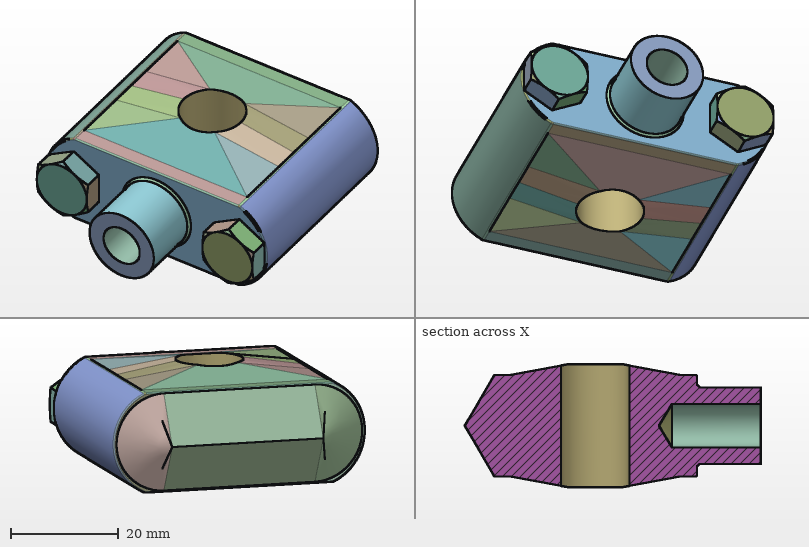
import cadquery as cq
import math

body_half_width = 24.5
body_half_thickness = 9.45
flat_half_width = 18.3
rear_y = 18.9
front_y = -rear_y
side_edge_radius = 1.1
end_edge_radius = 0.3

ridge_y = 24.25
ridge_half_length = 14.7
wedge_half_thickness = body_half_thickness - end_edge_radius

pad_half_width = 18.1
pad_half_length = 15.85
pad_top_z = 11.45
pad_strip_half_length = 5.05
cross_hole_radius = 6.3

stem_radius = 7.15
stem_end_y = -30.75
stem_base_chamfer = 0.5
bore_radius = 4.0
bore_depth = 16.5
drill_point_angle = 118

bolt_x = 18.35
bolt_across_flats = 11.1
bolt_head_height = 4.05
bolt_chamfer_angle = 30
bolt_sides = 6


def revolve_about_y(points, x=0):
    """Revolve (radius, y) points about the line parallel to Y at the given X."""
    profile = cq.Workplane("XY").polyline(points).close()
    return profile.revolve(360, (0, 0, 0), (0, 1, 0)).translate((x, 0, 0))


def make_slab():
    """Slab along Y with flat broad faces, bulging sides and rounded edges."""
    w, t = flat_half_width, body_half_thickness
    return (
        cq.Workplane("XZ", origin=(0, front_y, 0))
        .moveTo(-w, -t)
        .lineTo(w, -t)
        .threePointArc((body_half_width, 0), (w, t))
        .lineTo(-w, t)
        .threePointArc((-body_half_width, 0), (-w, -t))
        .close()
        .extrude(front_y - rear_y)
        .edges("|Y")
        .fillet(side_edge_radius)
        .faces("<Y or >Y")
        .edges()
        .fillet(end_edge_radius)
    )


def make_wedge():
    """Wedge that narrows to the rear ridge and has a half cone at each end of it."""
    t = wedge_half_thickness
    wedge = (
        cq.Workplane("YZ", origin=(-ridge_half_length, 0, 0))
        .polyline([(ridge_y, 0), (rear_y, t), (rear_y, -t)])
        .close()
        .extrude(2 * ridge_half_length)
    )
    half_cone = (
        cq.Workplane("YZ")
        .polyline([(ridge_y, 0), (rear_y, -t), (rear_y, 0)])
        .close()
        .revolve(180, (0, 0), (-1, 0))
        .translate((ridge_half_length, 0, 0))
    )
    return wedge.union(half_cone).union(half_cone.mirror("YZ"))


def flat_face(*points):
    """Planar face through the given corner points."""
    vectors = [cq.Vector(*point) for point in points]
    return cq.Face.makeFromWires(cq.Wire.makePolygon(vectors, close=True))


def make_pad():
    """Hipped pad: flat slopes plus strips ruled from the hole rim to the pad sides."""
    w, l, s = pad_half_width, pad_half_length, pad_strip_half_length
    z0, z1 = body_half_thickness, pad_top_z
    rim_x = math.sqrt(cross_hole_radius**2 - s**2)
    half_arc = math.asin(s / cross_hole_radius) / 2
    arc_x = cross_hole_radius * math.cos(half_arc)
    arc_y = cross_hole_radius * math.sin(half_arc)

    faces = []
    top_edges = []
    for side in (-1, 1):
        for end in (-1, 1):
            rim = cq.Edge.makeThreePointArc(
                cq.Vector(side * cross_hole_radius, 0, z1),
                cq.Vector(side * arc_x, end * arc_y, z1),
                cq.Vector(side * rim_x, end * s, z1),
            )
            foot = cq.Edge.makeLine(cq.Vector(side * w, 0, z0), cq.Vector(side * w, end * s, z0))
            side_slope = flat_face(
                (side * w, end * l, z0), (side * w, end * s, z0), (side * rim_x, end * s, z1)
            )
            faces += [cq.Face.makeRuledSurface(rim, foot), side_slope]
            top_edges.append(rim)
    for end in (-1, 1):
        end_slope = flat_face(
            (-w, end * l, z0), (w, end * l, z0), (rim_x, end * s, z1), (-rim_x, end * s, z1)
        )
        faces.append(end_slope)
        top_edges.append(cq.Edge.makeLine(cq.Vector(-rim_x, end * s, z1), cq.Vector(rim_x, end * s, z1)))
    top_wire = cq.Wire.combine(top_edges)[0]
    faces.append(cq.Face.makeFromWires(top_wire))
    base = flat_face(
        (-w, -l, z0), (w, -l, z0), (w, -s, z0), (w, 0, z0), (w, s, z0),
        (w, l, z0), (-w, l, z0), (-w, s, z0), (-w, 0, z0), (-w, -s, z0),
    )
    faces.append(base)
    return cq.Workplane(obj=cq.Solid.makeSolid(cq.Shell.makeShell(faces)))


def make_stem():
    """Round stem that flares where it meets the front face."""
    return revolve_about_y([
        (0, stem_end_y),
        (stem_radius, stem_end_y),
        (stem_radius, front_y - stem_base_chamfer),
        (stem_radius + stem_base_chamfer, front_y),
        (0, front_y),
    ])


def make_bore():
    """Blind bore from the stem end, closed by a drill point."""
    bore_end_y = stem_end_y + bore_depth
    point_length = bore_radius / math.tan(math.radians(drill_point_angle / 2))
    return revolve_about_y([
        (0, stem_end_y),
        (bore_radius, stem_end_y),
        (bore_radius, bore_end_y),
        (0, bore_end_y + point_length),
    ])


def make_bolt_head(x):
    """Hexagonal head with corners along Z and its outer corners bevelled."""
    half_side_angle = 180 / bolt_sides
    across_corners = bolt_across_flats / math.cos(math.radians(half_side_angle))
    head = (
        cq.Workplane("XZ", origin=(0, front_y, 0))
        .polygon(bolt_sides, across_corners)
        .extrude(bolt_head_height)
        .rotate((0, 0, 0), (0, 1, 0), half_side_angle)
        .translate((x, 0, 0))
    )
    end_y = front_y - bolt_head_height
    flat_radius = bolt_across_flats / 2
    cone_radius = flat_radius + bolt_head_height / math.tan(math.radians(bolt_chamfer_angle))
    bevel = revolve_about_y([(0, end_y), (flat_radius, end_y), (cone_radius, front_y), (0, front_y)], x)
    return head.intersect(bevel)


pad = make_pad()
result = make_slab().union(make_wedge()).union(pad).union(pad.mirror("XY"))
result = result.union(make_stem()).cut(make_bore())
for side in (-1, 1):
    result = result.union(make_bolt_head(side * bolt_x))
cross_hole = cq.Workplane("XY").circle(cross_hole_radius).extrude(pad_top_z, both=True)
result = result.cut(cross_hole).solids()